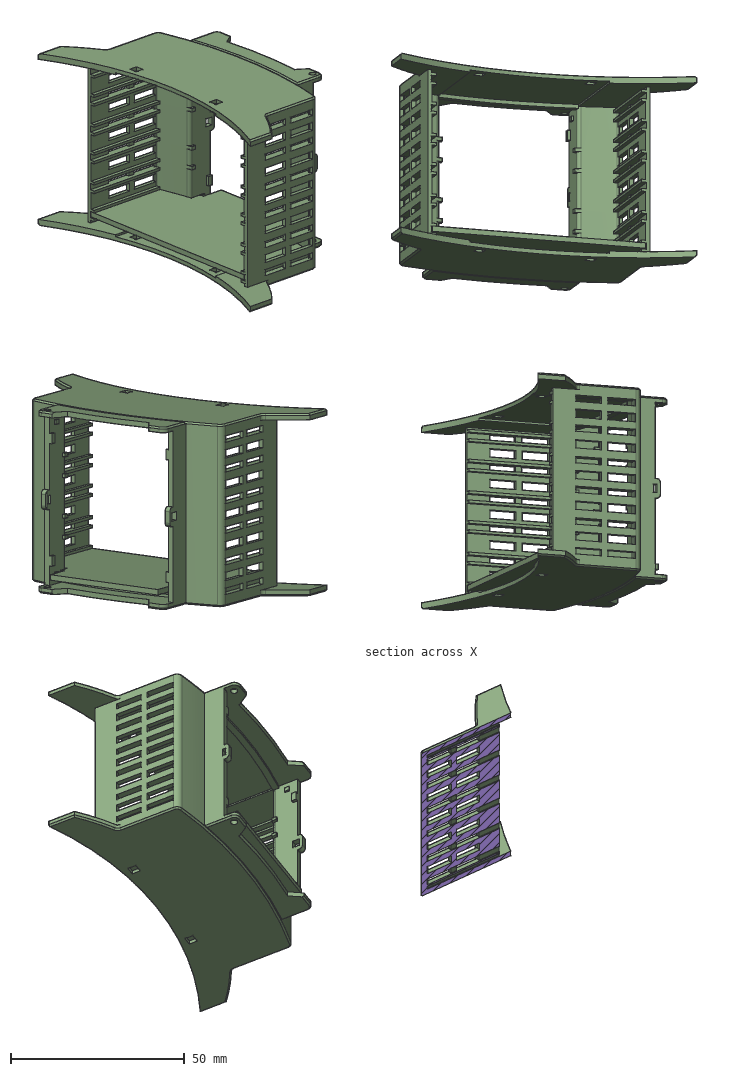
import cadquery as cq
import math

HEIGHT = 53.6
HALF_HEIGHT = HEIGHT / 2
SPAN_HALF = 44.85
BODY_HALF = 33.7
TIP_FRONT_Y = -24.89
TIP_REAR_Y = -16.3
WALL_FRONT_Y = -15.7
EDGE_CHAMFER = 0.5

FRONT_RADIUS = 100.0
REAR_RADIUS = 130.4
PANEL_THICKNESS = 2.0
PANEL_INNER_RADIUS = REAR_RADIUS - PANEL_THICKNESS
FLANGE_REAR_RADIUS = 136.0
ARC_CENTER_Y = TIP_FRONT_Y - math.sqrt(FRONT_RADIUS**2 - SPAN_HALF**2)

WING_RADIUS = 68.0
WING_CENTER_Y = TIP_REAR_Y - math.sqrt(WING_RADIUS**2 - SPAN_HALF**2)
REAR_CORNER_RADIUS = 2.0
WING_ROOT_RADIUS = 1.5

PLATE_THICKNESS = 1.85
RECESS_HALF = 21.15
RECESS_FLOOR = 1.25
LINTEL_DEPTH = 2.4
SQUARE_HOLE = 2.6
SQUARE_HOLE_X = 16.85
SQUARE_HOLE_Y = -12.3

WALL_INNER_X = 32.6
WALL_CORNER_RADIUS = 0.7
LEG_OUTER_X = 22.6
LEG_INNER_X = 20.9
LEG_REAR_Y = 20.6
LEG_ROUND = 1.1

SLOT_LEVELS = [-22.36, -13.63, -4.36, 4.36, 13.63, 22.36]
SLOT_HEIGHT = 1.9
RIB_THICKNESS = 0.82
RIB_TIP_X = 31.1
PAD_THICKNESS = 0.25
RIB_PAIR_HEIGHT = SLOT_HEIGHT + 2 * RIB_THICKNESS

WINDOW_SPANS = [(1.4, 10.0), (-8.6, -0.6)]
VENT_HEIGHT = 2.45

LEG_LUG_X = 20.05
CORNER_RIB_LEVELS = [5.95, 12.1]
CORNER_RIB_HEIGHT = 1.1
CORNER_RIB_REAR_Y = 14.0
LUG_LEVEL = 18.0
LUG_HEIGHT = 3.0
LUG_LENGTH = 1.5
STOP_TIP_X = 20.4
STOP_LEVEL = 22.4
STOP_HEIGHT = 1.4
STOP_FRONT_Y = 16.5
STOP_REAR_Y = 18.0
TAB_REAR_Y = 22.2
TAB_HEIGHT = 5.8
TAB_CORNER_RADIUS = 1.2
TAB_HOLE_HEIGHT = 2.45
TAB_HOLE_REAR_Y = 21.15
LEFT_TAB_HOLE_LENGTH = 2.2
RIGHT_TAB_HOLE_LENGTH = 1.1

FLANGE_THICKNESS = 1.6
FLANGE_HALF = LEG_OUTER_X
FLANGE_REAR_Y = -TIP_FRONT_Y
EAR_INNER_X = 17.0
EAR_ROOT_X = 14.3
EAR_RADIUS = 2.0
EAR_HOLE_DIAMETER = 2.0
EAR_HOLE_X = 20.2
EAR_HOLE_Y = 22.6

BOARD_THICKNESS = 1.6
BOARD_TOP_Z = SLOT_LEVELS[0] + SLOT_HEIGHT / 2
BOARD_HALF = 32.3
BOARD_NECK_HALF = 20.3
BOARD_NECK_REAR_Y = 16.0
BOARD_TAIL_HALF = 18.9
BOARD_REAR_Y = 23.0


def arc_y(radius, x):
    """Y of a concentric arc at the given x."""
    return ARC_CENTER_Y + math.sqrt(radius**2 - x**2)


def arc_point(radius, x):
    return (x, arc_y(radius, x))


def wing_point(x):
    return (x, WING_CENTER_Y + math.sqrt(WING_RADIUS**2 - x**2))


def box(x_range, y_range, z_range):
    """Axis-aligned box between three pairs of limits."""
    x0, x1 = sorted(x_range)
    y0, y1 = sorted(y_range)
    z0, z1 = sorted(z_range)
    return cq.Workplane("XY").box(x1 - x0, y1 - y0, z1 - z0, centered=False).translate((x0, y0, z0))


def level(center, height):
    """Z limits of a band of the given height."""
    return (center - height / 2, center + height / 2)


def mirrored(solid):
    """The solid joined with its mirror image across the YZ plane."""
    return solid.union(solid.mirror("YZ"))


def both_plates(solid):
    """The solid joined with its mirror image across the XY plane."""
    return solid.union(solid.mirror("XY"))


def full_outline_block():
    """The plate outline over the full height, chamfered except along the front arc."""
    wing_middle = (SPAN_HALF + BODY_HALF) / 2
    block = (
        cq.Workplane("XY", origin=(0, 0, -HALF_HEIGHT))
        .moveTo(-SPAN_HALF, TIP_FRONT_Y)
        .threePointArc(arc_point(FRONT_RADIUS, 0), (SPAN_HALF, TIP_FRONT_Y))
        .lineTo(SPAN_HALF, TIP_REAR_Y)
        .threePointArc(wing_point(wing_middle), wing_point(BODY_HALF))
        .lineTo(*arc_point(REAR_RADIUS, BODY_HALF))
        .threePointArc(arc_point(REAR_RADIUS, 0), arc_point(REAR_RADIUS, -BODY_HALF))
        .lineTo(*wing_point(-BODY_HALF))
        .threePointArc(wing_point(-wing_middle), (-SPAN_HALF, TIP_REAR_Y))
        .close()
        .extrude(HEIGHT)
    )
    rear_corners = cq.selectors.BoxSelector((-40, 5, -HEIGHT), (40, 15, HEIGHT))
    wing_roots = cq.selectors.BoxSelector((-40, -12, -HEIGHT), (40, -5, HEIGHT))
    block = block.edges("|Z").edges(rear_corners).fillet(REAR_CORNER_RADIUS)
    block = block.edges("|Z").edges(wing_roots).fillet(WING_ROOT_RADIUS)
    edges = block.faces("<Z or >Z").edges().filter(lambda e: abs(e.Center().x) > 1 or e.Center().y > 0)
    return edges.chamfer(EDGE_CHAMFER)


def wall_with_leg():
    """Side wall, curved rear panel and leg on the -X side, between the flanges."""
    wall_middle = (BODY_HALF + LEG_OUTER_X) / 2
    wall = (
        cq.Workplane("XY", origin=(0, 0, -HALF_HEIGHT + FLANGE_THICKNESS))
        .moveTo(-BODY_HALF, WALL_FRONT_Y)
        .lineTo(*arc_point(REAR_RADIUS, -BODY_HALF))
        .threePointArc(arc_point(REAR_RADIUS, -wall_middle), arc_point(REAR_RADIUS, -LEG_OUTER_X))
        .lineTo(-LEG_OUTER_X, LEG_REAR_Y)
        .lineTo(-LEG_INNER_X, LEG_REAR_Y)
        .lineTo(*arc_point(PANEL_INNER_RADIUS, -LEG_INNER_X))
        .threePointArc(
            arc_point(PANEL_INNER_RADIUS, -wall_middle), arc_point(PANEL_INNER_RADIUS, -WALL_INNER_X)
        )
        .lineTo(-WALL_INNER_X, WALL_FRONT_Y)
        .close()
        .extrude(HEIGHT - 2 * FLANGE_THICKNESS)
    )

    def corner(x, y):
        return cq.selectors.NearestToPointSelector((x, y, 0))

    wall = wall.edges("|Z").edges(corner(*arc_point(REAR_RADIUS, -BODY_HALF))).fillet(REAR_CORNER_RADIUS)
    wall = wall.edges("|Z").edges(corner(*arc_point(PANEL_INNER_RADIUS, -LEG_INNER_X))).fillet(LEG_ROUND)
    return wall.edges("|Z").edges(corner(*arc_point(PANEL_INNER_RADIUS, -WALL_INNER_X))).fillet(
        WALL_CORNER_RADIUS
    )


def slot_ribs():
    """Rib pairs that form the board slots, and the raised pads between the pairs."""
    rear_y = arc_y(PANEL_INNER_RADIUS, RIB_TIP_X)
    y_range = (WALL_FRONT_Y, rear_y)
    ribs = box(
        (-WALL_INNER_X, -WALL_INNER_X + PAD_THICKNESS),
        y_range,
        (SLOT_LEVELS[0], SLOT_LEVELS[-1]),
    )
    for z in SLOT_LEVELS:
        ribs = ribs.union(box((-WALL_INNER_X, -RIB_TIP_X), y_range, level(z, RIB_PAIR_HEIGHT)))
    for z in SLOT_LEVELS:
        ribs = ribs.cut(box((-WALL_INNER_X, -RIB_TIP_X), y_range, level(z, SLOT_HEIGHT)))
    return ribs


def wall_windows(inner_x):
    """Cutters for both columns of windows, from the outer face of the -X wall to inner_x."""
    between = [(low + high) / 2 for low, high in zip(SLOT_LEVELS, SLOT_LEVELS[1:])]
    windows = [(z, SLOT_HEIGHT) for z in SLOT_LEVELS] + [(z, VENT_HEIGHT) for z in between]
    cutters = cq.Workplane("XY")
    for z, height in windows:
        for y_range in WINDOW_SPANS:
            cutters = cutters.add(
                box((-BODY_HALF, -inner_x), y_range, level(z, height))
            )
    return cutters.combine()


def corner_rib(center_z):
    """Rib that fills the rounded corner of the -X leg, flush with the panel's inner face."""
    middle_x = (LEG_OUTER_X + LEG_LUG_X) / 2
    return (
        cq.Workplane("XY", origin=(0, 0, center_z - CORNER_RIB_HEIGHT / 2))
        .moveTo(*arc_point(PANEL_INNER_RADIUS, -LEG_OUTER_X))
        .threePointArc(
            arc_point(PANEL_INNER_RADIUS, -middle_x), arc_point(PANEL_INNER_RADIUS, -LEG_LUG_X)
        )
        .lineTo(-LEG_LUG_X, CORNER_RIB_REAR_Y)
        .lineTo(-LEG_OUTER_X, CORNER_RIB_REAR_Y)
        .close()
        .extrude(CORNER_RIB_HEIGHT)
    )


def leg_details():
    """Corner ribs, rear lugs, stops and the rear tab of the -X leg."""
    tab = box((-LEG_OUTER_X, -LEG_INNER_X), (LEG_REAR_Y, TAB_REAR_Y), level(0, TAB_HEIGHT))
    details = tab.edges("|X and >Y").fillet(TAB_CORNER_RADIUS)
    lug_y = (LEG_REAR_Y - LUG_LENGTH, LEG_REAR_Y)
    stop_y = (STOP_FRONT_Y, STOP_REAR_Y)
    for side in (-1, 1):
        for z in CORNER_RIB_LEVELS:
            details = details.union(corner_rib(side * z))
        lug = box((-LEG_INNER_X, -LEG_LUG_X), lug_y, level(side * LUG_LEVEL, LUG_HEIGHT))
        stop = box((-LEG_INNER_X, -STOP_TIP_X), stop_y, level(side * STOP_LEVEL, STOP_HEIGHT))
        details = details.union(lug).union(stop)
    return details


def tab_hole(side, length):
    """Cutter for the hole behind the tab of one leg."""
    return box(
        (side * LEG_OUTER_X, side * LEG_INNER_X),
        (TAB_HOLE_REAR_Y - length, TAB_HOLE_REAR_Y),
        level(0, TAB_HOLE_HEIGHT),
    )


def recess():
    """Shallow recess in the inner face of the top plate, ending at the lintel."""
    slab = box((-RECESS_HALF, RECESS_HALF), (TIP_FRONT_Y, FLANGE_REAR_Y), (0, HALF_HEIGHT - RECESS_FLOOR))
    inside = cq.Workplane("XY").center(0, ARC_CENTER_Y).circle(PANEL_INNER_RADIUS).extrude(HALF_HEIGHT)
    return slab.intersect(inside)


def lintel():
    """Bar that carries the panel arc across from leg to leg under the top plate."""
    return (
        cq.Workplane("XY", origin=(0, 0, HALF_HEIGHT - LINTEL_DEPTH))
        .moveTo(*arc_point(PANEL_INNER_RADIUS, -RECESS_HALF))
        .threePointArc(arc_point(PANEL_INNER_RADIUS, 0), arc_point(PANEL_INNER_RADIUS, RECESS_HALF))
        .lineTo(*arc_point(REAR_RADIUS, RECESS_HALF))
        .threePointArc(arc_point(REAR_RADIUS, 0), arc_point(REAR_RADIUS, -RECESS_HALF))
        .close()
        .extrude(LINTEL_DEPTH - PLATE_THICKNESS)
    )


def rear_flange():
    """Flange with two ears behind the top plate."""
    flange = (
        cq.Workplane("XY", origin=(0, 0, HALF_HEIGHT - FLANGE_THICKNESS))
        .moveTo(*arc_point(REAR_RADIUS, -FLANGE_HALF))
        .threePointArc(arc_point(REAR_RADIUS, 0), arc_point(REAR_RADIUS, FLANGE_HALF))
        .lineTo(FLANGE_HALF, FLANGE_REAR_Y)
        .lineTo(EAR_INNER_X, FLANGE_REAR_Y)
        .lineTo(*arc_point(FLANGE_REAR_RADIUS, EAR_ROOT_X))
        .threePointArc(arc_point(FLANGE_REAR_RADIUS, 0), arc_point(FLANGE_REAR_RADIUS, -EAR_ROOT_X))
        .lineTo(-EAR_INNER_X, FLANGE_REAR_Y)
        .lineTo(-FLANGE_HALF, FLANGE_REAR_Y)
        .close()
        .extrude(FLANGE_THICKNESS)
    )
    flange = flange.edges("|Z and (<X or >X) and (not <Y)").edges(
        cq.selectors.BoxSelector((-30, FLANGE_REAR_Y - 1, 0), (30, FLANGE_REAR_Y + 1, HEIGHT))
    ).fillet(EAR_RADIUS)
    chamfered = flange.faces(">Z").edges().filter(
        lambda edge: abs(edge.Center().x) > EAR_INNER_X or edge.Center().y < LEG_REAR_Y - 2
    )
    return chamfered.chamfer(EDGE_CHAMFER)


def build_housing():
    inner_half = HALF_HEIGHT - PLATE_THICKNESS
    between_plates = box(
        (-SPAN_HALF, SPAN_HALF), (TIP_FRONT_Y, FLANGE_REAR_Y), (-inner_half, inner_half)
    )
    body = full_outline_block().cut(between_plates)
    body = body.cut(both_plates(recess()))
    body = body.union(both_plates(rear_flange())).union(both_plates(lintel()))

    side = wall_with_leg().cut(wall_windows(WALL_INNER_X))
    side = side.union(slot_ribs().cut(wall_windows(WALL_INNER_X - PAD_THICKNESS)))
    side = side.union(leg_details())
    body = body.union(mirrored(side))
    body = body.cut(tab_hole(-1, LEFT_TAB_HOLE_LENGTH)).cut(tab_hole(1, RIGHT_TAB_HOLE_LENGTH))

    square_holes = (
        cq.Workplane("XY")
        .pushPoints([(-SQUARE_HOLE_X, SQUARE_HOLE_Y), (SQUARE_HOLE_X, SQUARE_HOLE_Y)])
        .rect(SQUARE_HOLE, SQUARE_HOLE)
        .extrude(HALF_HEIGHT, both=True)
    )
    ear_hole = (
        cq.Workplane("XY")
        .center(EAR_HOLE_X, EAR_HOLE_Y)
        .circle(EAR_HOLE_DIAMETER / 2)
        .extrude(HALF_HEIGHT, both=True)
    )
    return body.cut(square_holes).cut(ear_hole)


def build_board():
    """Board in the lowest slot, following the rear panels and passing between the legs."""
    z_range = (BOARD_TOP_Z - BOARD_THICKNESS, BOARD_TOP_Z)
    main = box((-BOARD_HALF, BOARD_HALF), (WALL_FRONT_Y, BOARD_REAR_Y), z_range)
    inside_panels = (
        cq.Workplane("XY", origin=(0, ARC_CENTER_Y, -HALF_HEIGHT)).circle(PANEL_INNER_RADIUS).extrude(HEIGHT)
    )
    main = main.intersect(inside_panels)
    rear_corners = cq.selectors.BoxSelector((-40, 5, -HEIGHT), (-30, 15, HEIGHT)) + cq.selectors.BoxSelector(
        (30, 5, -HEIGHT), (40, 15, HEIGHT)
    )
    main = main.edges("|Z").edges(rear_corners).fillet(WALL_CORNER_RADIUS)
    neck = box((-BOARD_NECK_HALF, BOARD_NECK_HALF), (0, BOARD_NECK_REAR_Y), z_range)
    tail = box((-BOARD_TAIL_HALF, BOARD_TAIL_HALF), (0, BOARD_REAR_Y), z_range)
    return main.union(neck).union(tail)


housing = build_housing()
board = build_board()
result = cq.Compound.makeCompound([housing.val(), board.val()])